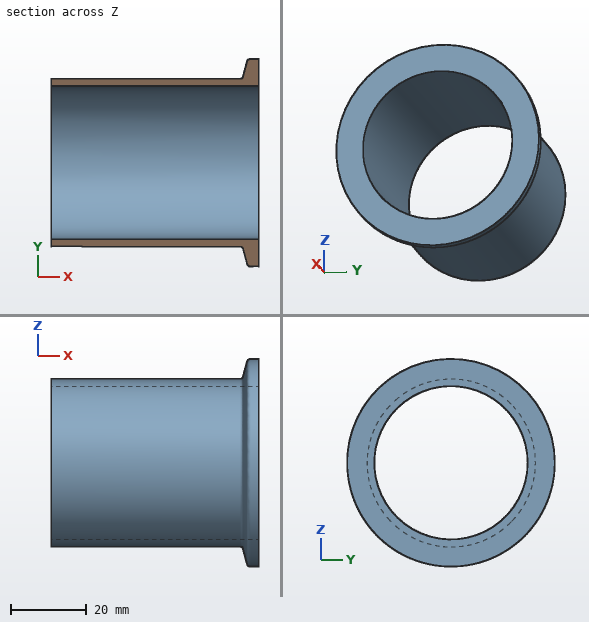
import cadquery as cq
import math

total_length = 55.0
flange_diameter = 55.0
tube_outer_diameter = 44.5
bore_diameter = 40.5

flange_edge_thickness = 3.0
flange_back_angle = 15.0
rim_radius = 1.0
neck_radius = 0.6

flange_radius = flange_diameter / 2
tube_radius = tube_outer_diameter / 2
bore_radius = bore_diameter / 2

clamp_face_x = total_length / 2
tube_end_x = clamp_face_x - total_length
rim_x = clamp_face_x - flange_edge_thickness
back_face_run = (flange_radius - tube_radius) * math.tan(math.radians(flange_back_angle))
neck_x = rim_x - back_face_run


def make_ferrule_blank():
    """Tube with a conical-backed flange, revolved about X."""
    profile = (
        cq.Workplane("XY")
        .moveTo(tube_end_x, bore_radius)
        .lineTo(tube_end_x, tube_radius)
        .lineTo(neck_x, tube_radius)
        .lineTo(rim_x, flange_radius)
        .lineTo(clamp_face_x, flange_radius)
        .lineTo(clamp_face_x, bore_radius)
        .close()
    )
    return profile.revolve(360, (0, 0, 0), (1, 0, 0))


def round_circle_at(body, x, radius, fillet_radius):
    """Fillet the circular edge of the given radius centred on the axis at x."""
    margin = 0.01
    reach = radius + margin
    edge_zone = cq.selectors.BoxSelector(
        (x - margin, -reach, -reach),
        (x + margin, reach, reach),
        boundingbox=True,
    )
    return body.edges(edge_zone).fillet(fillet_radius)


ferrule = make_ferrule_blank()
ferrule = round_circle_at(ferrule, neck_x, tube_radius, neck_radius)
ferrule = round_circle_at(ferrule, rim_x, flange_radius, rim_radius)

result = ferrule